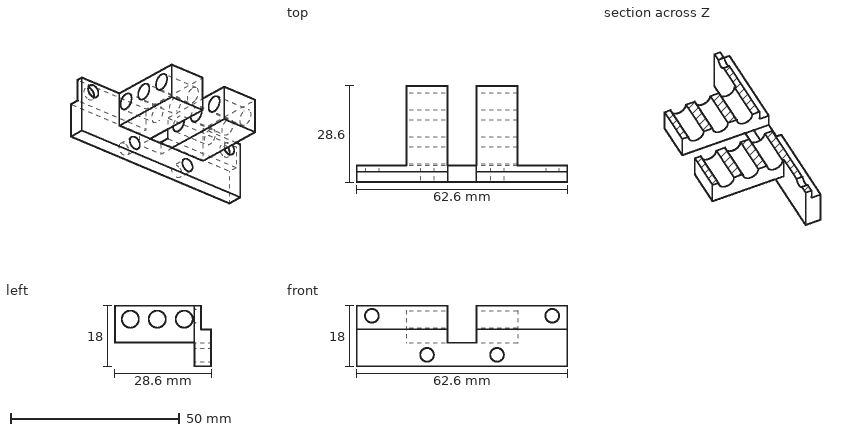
import cadquery as cq

length = 62.6
depth = 28.58
height = 18.0

plate_thickness = 5.0
ledge_depth = 3.0
ledge_height = 11.0

slot_width = 8.5
slot_floor = 7.0
arm_width = 12.25

plate_hole_diameter = 4.0
upper_hole_spacing = 53.6
upper_hole_height = 15.0
lower_hole_spacing = 20.8
lower_hole_height = 3.4

arm_hole_diameter = 5.0
arm_hole_pitch = 8.0
arm_hole_count = 3
arm_hole_depth_below_top = 4.0
arm_hole_height = height - arm_hole_depth_below_top


def box(x_start, y_start, z_start, x_size, y_size, z_size):
    """Block placed by its lowest corner."""
    block = cq.Workplane("XY").box(x_size, y_size, z_size, centered=False)
    return block.translate((x_start, y_start, z_start))


def make_plate():
    """Slotted plate, centred on X = 0 with its front face at Y = 0."""
    profile = [
        (0, 0),
        (plate_thickness, 0),
        (plate_thickness, height),
        (ledge_depth, height),
        (ledge_depth, ledge_height),
        (0, ledge_height),
    ]
    plate = cq.Workplane("YZ").polyline(profile).close().extrude(length / 2, both=True)
    slot = box(-slot_width / 2, 0, slot_floor, slot_width, plate_thickness, height - slot_floor)
    return plate.cut(slot)


def make_arm(x_start):
    """Arm behind the plate, flush with its top, with its underside level with the slot floor."""
    return box(
        x_start, plate_thickness, slot_floor,
        arm_width, depth - plate_thickness, height - slot_floor,
    )


def plate_hole_pair(spacing, hole_height):
    """Cutters for two holes through the plate, symmetric about X = 0."""
    centres = [(-spacing / 2, hole_height), (spacing / 2, hole_height)]
    return (
        cq.Workplane("XZ").pushPoints(centres)
        .circle(plate_hole_diameter / 2).extrude(-plate_thickness)
    )


def arm_holes():
    """Cutters for the row of holes through both arms, at whole pitches from the front face."""
    centres = [(arm_hole_pitch * (i + 1), arm_hole_height) for i in range(arm_hole_count)]
    return (
        cq.Workplane("YZ").pushPoints(centres)
        .circle(arm_hole_diameter / 2).extrude(length / 2, both=True)
    )


result = make_plate()
for arm_start in (-slot_width / 2 - arm_width, slot_width / 2):
    result = result.union(make_arm(arm_start))
result = result.cut(plate_hole_pair(upper_hole_spacing, upper_hole_height))
result = result.cut(plate_hole_pair(lower_hole_spacing, lower_hole_height))
result = result.cut(arm_holes())